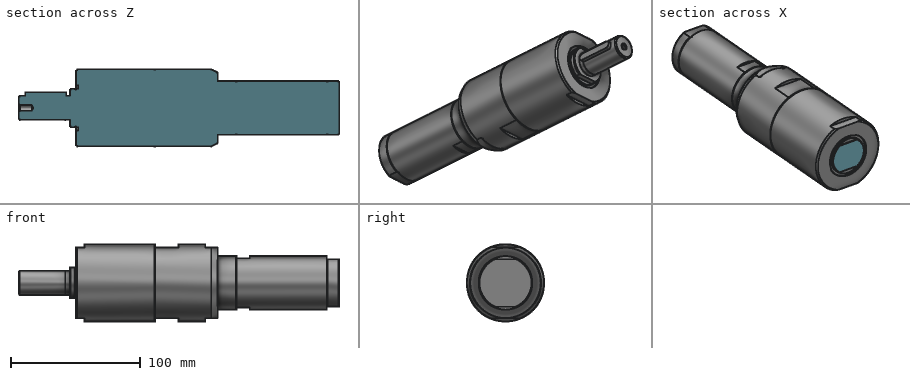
import cadquery as cq
import math

total_length = 247.5

shaft_diameter = 19.0
shoulder_diameter = 18.8
shaft_length = 36.0
shaft_chamfer = 1.0

collar_start = 39.5
collar_diameter = 30.0
collar_across_flats = 24.0
collar_chamfer = 0.7

housing_start = 44.0
housing_end = 153.7
housing_diameter = 60.0
housing_across_flats = 54.7
housing_chamfer = 1.2
housing_taper_start = 148.5
housing_rear_diameter = 55.2
housing_rim_chamfer = 0.5
front_flat_end = 50.7
middle_flat_start = 105.5
middle_flat_end = 123.3
rear_flat_start = 144.0
recess_diameter = 35.0
recess_depth = 1.7

groove_width = 0.7
groove_depth = 0.2

tube_diameter = 41.5
tube_end_chamfer = 0.7
waist_start = 168.3
waist_end = 178.2
waist_across_flats = 38.0
tail_flat_start = 237.8
tail_across_flats = 36.6

key_start = 5.0
key_end = 37.0
key_width = 6.0
key_top = 12.1

centre_mouth_diameter = 5.5
centre_drill_diameter = 4.2
centre_depth = 10.0
sink_half_angle = 30
drill_tip_half_angle = 60


def turned_body():
    """Revolve the stepped outer profile about the X axis."""
    shaft_r = shaft_diameter / 2
    shoulder_r = shoulder_diameter / 2
    collar_r = collar_diameter / 2
    recess_r = recess_diameter / 2
    housing_r = housing_diameter / 2
    rear_r = housing_rear_diameter / 2
    tube_r = tube_diameter / 2
    recess_floor = housing_start + recess_depth
    profile = (
        cq.Workplane("XY")
        .moveTo(0, 0)
        .lineTo(0, shaft_r - shaft_chamfer)
        .lineTo(shaft_chamfer, shaft_r)
        .lineTo(shaft_length, shaft_r)
        .lineTo(shaft_length, shoulder_r)
        .lineTo(collar_start, shoulder_r)
        .lineTo(collar_start, collar_r - collar_chamfer)
        .lineTo(collar_start + collar_chamfer, collar_r)
        .lineTo(housing_start - collar_chamfer, collar_r)
        .lineTo(housing_start, collar_r - collar_chamfer)
        .lineTo(housing_start, collar_r)
        .lineTo(recess_floor, collar_r)
        .lineTo(recess_floor, recess_r)
        .lineTo(housing_start, recess_r)
        .lineTo(housing_start, housing_r - housing_chamfer)
        .lineTo(housing_start + housing_chamfer, housing_r)
        .lineTo(housing_taper_start, housing_r)
        .lineTo(housing_end - housing_rim_chamfer, rear_r)
        .lineTo(housing_end, rear_r - housing_rim_chamfer)
        .lineTo(housing_end, tube_r)
        .lineTo(total_length - tube_end_chamfer, tube_r)
        .lineTo(total_length, tube_r - tube_end_chamfer)
        .lineTo(total_length, 0)
        .close()
    )
    return profile.revolve(360, (0, 0, 0), (1, 0, 0))


def flat_pair(start, end, across_flats, diameter):
    """Material to remove for two flats facing +Z and -Z between start and end."""
    length = end - start
    middle = (start + end) / 2
    cutter_radius = diameter
    cutter = cq.Workplane("YZ", origin=(start, 0, 0)).circle(cutter_radius).extrude(length)
    kept_slab = cq.Workplane("XY", origin=(middle, 0, 0)).box(length, 2 * cutter_radius, across_flats)
    return cutter.cut(kept_slab)


def joint_groove(start, diameter):
    """Shallow V-groove around the X axis, opening at the given diameter."""
    surface_r = diameter / 2
    return (
        cq.Workplane("XY")
        .moveTo(start, surface_r)
        .lineTo(start + groove_width / 2, surface_r - groove_depth)
        .lineTo(start + groove_width, surface_r)
        .close()
        .revolve(360, (0, 0, 0), (1, 0, 0))
    )


def feather_key():
    """Round-ended key reaching from the shaft axis to its top face."""
    length = key_end - key_start
    return (
        cq.Workplane("XZ", origin=((key_start + key_end) / 2, 0, 0))
        .slot2D(length, key_width)
        .extrude(-key_top)
    )


def centre_hole():
    """Drilled hole with a countersunk mouth and a conical drill point."""
    drill_r = centre_drill_diameter / 2
    mouth_r = centre_mouth_diameter / 2
    sink_depth = (mouth_r - drill_r) / math.tan(math.radians(sink_half_angle))
    tip_depth = drill_r / math.tan(math.radians(drill_tip_half_angle))
    return (
        cq.Workplane("XY")
        .moveTo(0, 0)
        .lineTo(0, mouth_r)
        .lineTo(sink_depth, drill_r)
        .lineTo(centre_depth, drill_r)
        .lineTo(centre_depth + tip_depth, 0)
        .close()
        .revolve(360, (0, 0, 0), (1, 0, 0))
    )


flat_sections = [
    (collar_start, housing_start, collar_across_flats, collar_diameter),
    (housing_start, front_flat_end, housing_across_flats, housing_diameter),
    (middle_flat_start, middle_flat_end, housing_across_flats, housing_diameter),
    (rear_flat_start, housing_end, housing_across_flats, housing_diameter),
    (waist_start, waist_end, waist_across_flats, tube_diameter),
    (tail_flat_start, total_length, tail_across_flats, tube_diameter),
]

joints = [
    (middle_flat_start - groove_width, housing_diameter),
    (waist_start - groove_width, tube_diameter),
    (tail_flat_start, tube_diameter),
]

result = turned_body()
for start, diameter in joints:
    result = result.cut(joint_groove(start, diameter))
for start, end, across_flats, diameter in flat_sections:
    result = result.cut(flat_pair(start, end, across_flats, diameter))
result = result.union(feather_key()).cut(centre_hole())